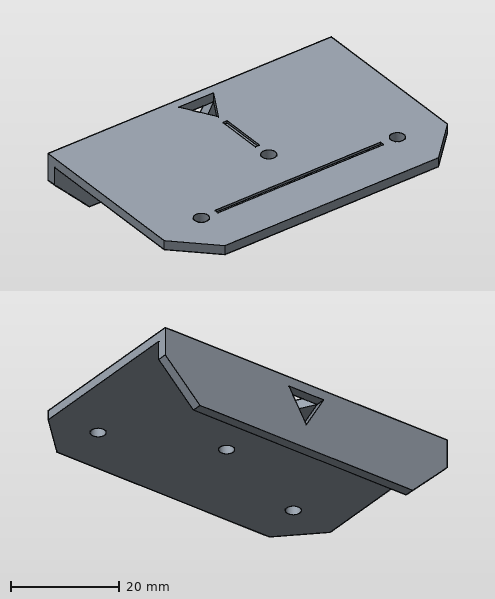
import cadquery as cq
import math

length = 65.0
plate_width = 44.0
wall_height = 14.0
thickness = 2.0
corner_cut = 8.0

hole_diameter = 3.0
inner_hole_x = 24.5
outer_hole_x = 34.0
outer_hole_spacing = 45.0

window_side = 8.0
window_height = window_side * math.sqrt(3) / 2

groove_width = 1.0
groove_depth = 0.5
hole_to_groove = 3.5
window_to_groove = 2.0


def leg(reach):
    """Flat leg lying below Z = 0, with its window and the far corners cut off."""
    base = thickness
    window = [(base, -window_side / 2), (base, window_side / 2), (base + window_height, 0)]
    return (
        cq.Workplane("XY")
        .box(reach, length, thickness, centered=(False, True, False))
        .edges("|Z and >X")
        .chamfer(corner_cut)
        .polyline(window)
        .close()
        .cutThruAll()
        .translate((0, 0, -thickness))
    )


def groove(center_x, size_x, size_y):
    """Rectangular groove cutter sunk into the top face and centred on Y = 0."""
    return (
        cq.Workplane("XY", origin=(center_x, 0, -groove_depth))
        .rect(size_x, size_y)
        .extrude(groove_depth)
    )


plate = leg(plate_width)
wall = leg(wall_height).rotate((0, 0, 0), (0, 1, 0), 90).translate((thickness, 0, 0))
bracket = plate.union(wall)

hole_points = [
    (inner_hole_x, 0),
    (outer_hole_x, outer_hole_spacing / 2),
    (outer_hole_x, -outer_hole_spacing / 2),
]
holes = (
    cq.Workplane("XY")
    .pushPoints(hole_points)
    .circle(hole_diameter / 2)
    .extrude(-thickness)
)

short_start = thickness + window_height + window_to_groove
short_end = inner_hole_x - hole_to_groove
short_groove = groove((short_start + short_end) / 2, short_end - short_start, groove_width)

long_groove = groove(outer_hole_x, groove_width, outer_hole_spacing - 2 * hole_to_groove)

result = bracket.cut(holes).cut(short_groove).cut(long_groove)